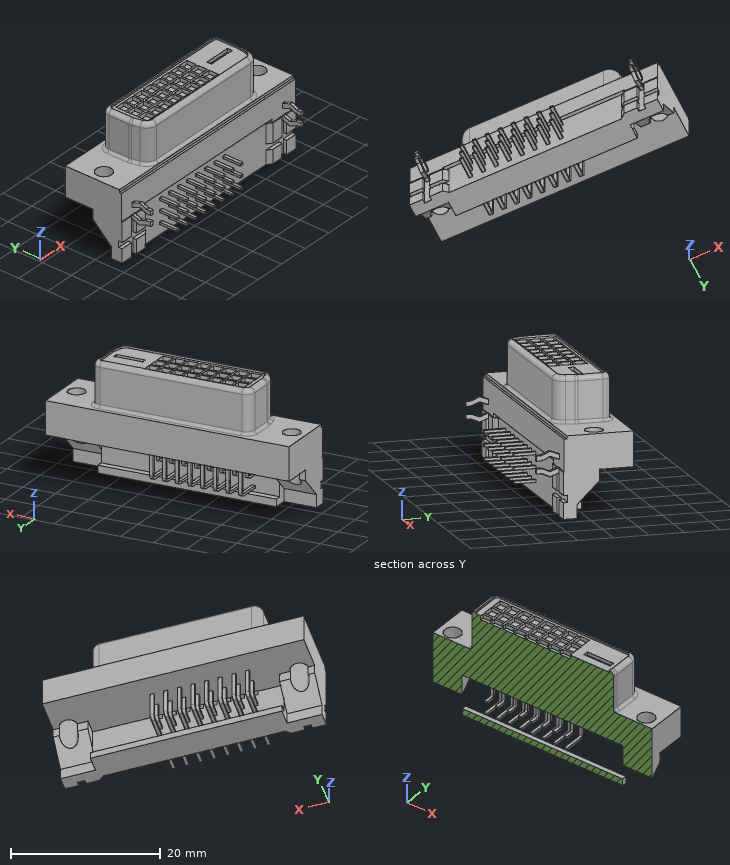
import cadquery as cq
import math


length = 36.83
depth = 9.87
flange_bottom = 6.55
flange_top = 11.53
flange_setback = 0.1
step_depth = 0.48
step_height = 0.45
middle_y = 4.95

hole_diameter = 2.55
hole_x = 16.25

total_height = 18.05
shell_half_width = 12.0
shell_front = 1.0
shell_back = 8.8
shell_bend_y = 3.83
shell_taper = 12.5
shell_back_radius = 1.3
shell_front_radius = 1.75
shell_bend_radius = 2.03
shell_top_round = 0.75
shell_foot_fillet = 0.45
mouth_recess = 0.3

margin = 0.05

columns = 8
rows = 3
pitch = 1.9
first_column_x = -9.55
cell_size = 1.6
cell_depth = 0.63
blade_slot_length = 4.3
blade_slot_width = 0.77
blade_slot_x = 8.25
blade_slot_depth = 0.55

tail_width = 0.5
tail_thickness = 0.35
tail_tip_y = -2.45
tail_lowest_z = 1.9
tail_bend_radius = 0.6
tail_root = 0.35

wall_back = 3.13
foot_back = 4.12
foot_height = 1.15
bracket_inner_x = 13.48
bracket_back = 5.12
bracket_slope_top = 5.0
bracket_slope_bottom = 1.9
bracket_base_back = 1.9

groove_depth = 0.6
groove_width = 1.0
groove_x = 15.9
groove_z = 2.85
recess_top = 7.1
pad_slope_width = 0.7

clip_x = 15.9
clip_width = 0.5
clip_middle_z = 7.22
clip_root_y = 0.95
clip_inner_edge = [(clip_root_y, 0.6), (0, 0.6), (-1.18, 1.03), (-2.2, 0.6), (-3.1, 0.5)]
clip_outer_edge = [(clip_root_y, 1.33), (0, 1.33), (-1.18, 1.75), (-2.4, 1.25), (-3.1, 1.2)]


def box(x_min, x_max, y_min, y_max, z_min, z_max):
    """Box given by its limits along each axis."""
    size = (x_max - x_min, y_max - y_min, z_max - z_min)
    return cq.Workplane("XY").box(*size, centered=False).translate((x_min, y_min, z_min))


def side_profile(points, x_min, x_max):
    """Closed (Y, Z) outline extruded along X."""
    profile = cq.Workplane("YZ").workplane(offset=x_min).polyline(points).close()
    return profile.extrude(x_max - x_min)


def make_flange():
    """Block over the whole length with a small step along its front top edge."""
    step_z = flange_top - step_height
    outline = [
        (flange_setback, flange_bottom),
        (depth, flange_bottom),
        (depth, flange_top),
        (step_depth, flange_top),
        (step_depth, step_z),
        (flange_setback, step_z),
    ]
    return side_profile(outline, -length / 2, length / 2)


def make_shell():
    """Tapered D-shaped shell, rounded at the mouth and filleted into the flange."""
    taper_inset = (shell_bend_y - shell_front) * math.tan(math.radians(shell_taper))
    front_half_width = shell_half_width - taper_inset
    outline = [
        (-front_half_width, shell_front),
        (front_half_width, shell_front),
        (shell_half_width, shell_bend_y),
        (shell_half_width, shell_back),
        (-shell_half_width, shell_back),
        (-shell_half_width, shell_bend_y),
    ]
    shell = cq.Workplane("XY").workplane(offset=flange_top).polyline(outline).close()
    shell = shell.extrude(total_height - flange_top)
    corners = [
        (shell_front, shell_front_radius),
        (shell_bend_y, shell_bend_radius),
        (shell_back, shell_back_radius),
    ]
    for corner_y, radius in corners:
        strip = cq.selectors.BoxSelector(
            (-length, corner_y - margin, 0),
            (length, corner_y + margin, total_height),
        )
        shell = shell.edges("|Z").edges(strip).fillet(radius)
    return shell


def make_wall():
    """Wall under the flange between the end brackets, with a foot along its back edge."""
    outline = [
        (0, 0),
        (foot_back, 0),
        (foot_back, foot_height),
        (wall_back, foot_height),
        (wall_back, flange_bottom),
        (0, flange_bottom),
    ]
    return side_profile(outline, -bracket_inner_x, bracket_inner_x)


def make_bracket(x_min, x_max):
    """End bracket with a sloping back."""
    outline = [
        (0, 0),
        (bracket_base_back, 0),
        (bracket_base_back, bracket_slope_bottom),
        (bracket_back, bracket_slope_top),
        (bracket_back, flange_bottom),
        (0, flange_bottom),
    ]
    return side_profile(outline, x_min, x_max)


def make_recess():
    """Hollow between the pads that the tails come out of, with sloping sides below the flange."""
    floor_half_width = bracket_inner_x - pad_slope_width
    plan = [
        (-bracket_inner_x, 0),
        (-floor_half_width, groove_depth),
        (floor_half_width, groove_depth),
        (bracket_inner_x, 0),
    ]
    lower = cq.Workplane("XY").polyline(plan).close().extrude(flange_bottom)
    upper = box(-bracket_inner_x, bracket_inner_x, 0, groove_depth, flange_bottom, recess_top)
    return lower.union(upper)


def make_grooves():
    """One level groove over the full length and one upright groove at each end."""
    half_width = groove_width / 2
    grooves = box(-length / 2, length / 2, 0, groove_depth, groove_z - half_width, groove_z + half_width)
    for x in (-groove_x, groove_x):
        grooves = grooves.union(box(x - half_width, x + half_width, 0, groove_depth, 0, flange_bottom))
    return grooves


def contact_positions():
    """X and Y of every contact, row by row from the front."""
    return [
        (first_column_x + column * pitch, middle_y + (row - (rows - 1) / 2) * pitch)
        for row in range(rows)
        for column in range(columns)
    ]


def make_mouth_cuts(floor_z):
    """Square contact cells and the long blade slot, sunk below the mouth floor."""
    cells = cq.Workplane("XY").workplane(offset=floor_z - cell_depth)
    cells = cells.pushPoints(contact_positions()).rect(cell_size, cell_size).extrude(cell_depth)
    slot = cq.Workplane("XY").workplane(offset=floor_z - blade_slot_depth)
    slot = slot.center(blade_slot_x, middle_y).rect(blade_slot_length, blade_slot_width)
    slot = slot.extrude(blade_slot_depth)
    return cells.union(slot)


def make_tail(x, drop_y, tail_z):
    """Solder tail dropping from the flange and bending round towards -Y."""
    half = tail_thickness / 2
    outer_y = drop_y + half
    lower_z = tail_z - half
    outer_radius = tail_bend_radius
    inner_radius = outer_radius - tail_thickness
    centre_y = outer_y - outer_radius
    centre_z = lower_z + outer_radius
    diagonal = math.cos(math.radians(45))
    top_z = flange_bottom + tail_root
    profile = (
        cq.Workplane("YZ")
        .workplane(offset=x - tail_width / 2)
        .moveTo(tail_tip_y, lower_z)
        .lineTo(centre_y, lower_z)
        .threePointArc(
            (centre_y + outer_radius * diagonal, centre_z - outer_radius * diagonal),
            (outer_y, centre_z),
        )
        .lineTo(outer_y, top_z)
        .lineTo(outer_y - tail_thickness, top_z)
        .lineTo(outer_y - tail_thickness, centre_z)
        .threePointArc(
            (centre_y + inner_radius * diagonal, centre_z - inner_radius * diagonal),
            (centre_y, lower_z + tail_thickness),
        )
        .lineTo(tail_tip_y, lower_z + tail_thickness)
        .close()
    )
    return profile.extrude(tail_width)


def make_clip_arm(x, side):
    """Springy clip arm; side is 1 for the upper arm and -1 for its mirror image below."""
    outline = clip_inner_edge + clip_outer_edge[::-1]
    points = [(y, clip_middle_z + side * height) for y, height in outline]
    return side_profile(points, x - clip_width / 2, x + clip_width / 2)


body = make_flange().union(make_shell())
shell_foot = cq.selectors.BoxSelector(
    (-shell_half_width - margin, shell_front - margin, flange_top - margin),
    (shell_half_width + margin, shell_back + margin, flange_top + margin),
)
body = body.edges(shell_foot).fillet(shell_foot_fillet)
body = body.faces(">Z").edges().fillet(shell_top_round)

mouth_floor_z = total_height - mouth_recess
mouth = body.faces(">Z").wires().toPending().workplane().extrude(-mouth_recess, combine=False)
body = body.cut(mouth).cut(make_mouth_cuts(mouth_floor_z))

body = body.union(make_wall())
body = body.union(make_bracket(-length / 2, -bracket_inner_x))
body = body.union(make_bracket(bracket_inner_x, length / 2))
body = body.cut(make_recess()).cut(make_grooves())

holes = cq.Workplane("XY").pushPoints([(-hole_x, middle_y), (hole_x, middle_y)])
body = body.cut(holes.circle(hole_diameter / 2).extrude(total_height))

for index, (contact_x, contact_y) in enumerate(contact_positions()):
    row_from_back = rows - 1 - index // columns
    body = body.union(make_tail(contact_x, contact_y, tail_lowest_z + row_from_back * pitch))

for centre_x in (-clip_x, clip_x):
    for side in (1, -1):
        body = body.union(make_clip_arm(centre_x, side))

result = body